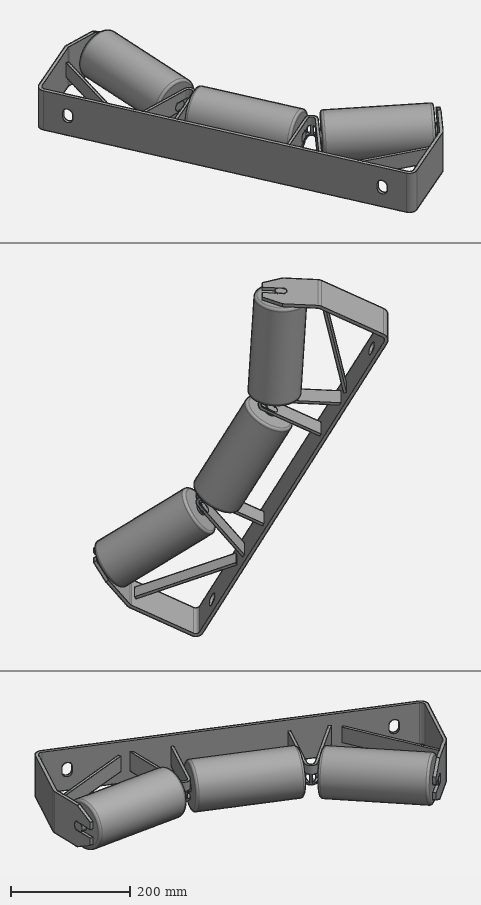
import cadquery as cq
import math


frame_length = 680.0
frame_height = 80.0
frame_sheet = 6.0
frame_bend_radius = 13.5
wall_bend_y = 134.5
trough_angle = 25.0
wing_length = 96.5
wing_chamfer_along = 34.0
wing_chamfer_down = 18.0

mount_hole_width = 18.0
mount_hole_height = 27.0
mount_hole_x = 283.0

brace_sheet = 5.0
bracket_height = 37.5
bracket_leg_x = 98.5
bracket_top_y = 127.0
bracket_bend_radius = 11.5
strut_height = 30.0
strut_foot_x = 191.0
strut_angle = 40.0

drum_diameter = 89.0
drum_length = 190.0
drum_edge_radius = 5.0
axle_diameter = 20.0
axle_flats = 16.0
axle_flat_length = 7.0
slot_reach = 54.5
centre_axle_y = 98.5
centre_axle_z = -7.0
side_axle_y = 194.0
side_axle_z = 0.0
side_drum_inset = 10.0
forward_tilt = 2.0

lean = math.radians(trough_angle)
tilt = math.radians(forward_tilt)
wing_direction = cq.Vector(math.sin(lean), math.cos(lean), 0)
inward_direction = cq.Vector(math.cos(lean), -math.sin(lean), 0)

wall_x = -frame_length / 2
wing_bend = cq.Vector(wall_x, wall_bend_y, 0)
wing_tip = wing_bend + wing_direction * wing_length

fold_middle = cq.Vector(-bracket_leg_x - bracket_bend_radius, bracket_top_y - bracket_bend_radius, 0)

side_axle_start = cq.Vector(
    wall_x + (side_axle_y - wall_bend_y) * math.tan(lean), side_axle_y, side_axle_z
)
leaning_leg_distance = (fold_middle - side_axle_start).dot(inward_direction) - bracket_bend_radius
side_axle_length = (leaning_leg_distance + brace_sheet) / math.cos(tilt)
side_plane = cq.Plane(
    origin=side_axle_start,
    xDir=wing_direction,
    normal=inward_direction * math.cos(tilt) - cq.Vector(0, 0, math.sin(tilt)),
)
centre_axle_length = 2 * (bracket_leg_x + brace_sheet)
centre_plane = cq.Plane(
    origin=(-centre_axle_length / 2, centre_axle_y, centre_axle_z),
    xDir=(0, 1, 0),
    normal=(1, 0, 0),
)


def mirrored(body):
    """The same body on the +X half."""
    return body.mirror("YZ")


def in_plan(vector):
    return (vector.x, vector.y)


def upright_plate(points, height):
    """Plate with the given plan outline, standing on edge about Z = 0."""
    return cq.Workplane("XY").polyline(points).close().extrude(height / 2, both=True)


def fillet_upright_edge(plate, corner, radius):
    """Round the upright edge that passes through a corner of the plan outline."""
    reach = 0.1
    x, y = corner
    near = cq.selectors.BoxSelector((x - reach, y - reach, -reach), (x + reach, y + reach, reach))
    return plate.edges("|Z").edges(near).fillet(radius)


def shifted(plane, distance):
    """The plane moved along its normal."""
    return cq.Plane(plane.origin + plane.zDir * distance, plane.xDir, plane.zDir)




def flatted_bar(plane, length):
    """Round bar with two flats, as at the ends of an axle."""
    bar = cq.Workplane(plane).circle(axle_diameter / 2).extrude(length)
    return bar.intersect(cq.Workplane(plane).rect(axle_diameter, axle_flats).extrude(length))


def slot_cutter(plane, start, end):
    """Axle slot between two distances along the axle, open along the plane's x direction."""
    seat = shifted(plane, start)
    mouth = cq.Workplane(seat).center(slot_reach / 2, 0).rect(slot_reach, axle_flats)
    return flatted_bar(seat, end - start).union(mouth.extrude(end - start))


def make_roller(plane, axle_length, drum_start):
    """Drum and axle in one body; the plane lies at the start of the axle."""
    drum = cq.Workplane(shifted(plane, drum_start)).circle(drum_diameter / 2).extrude(drum_length)
    drum = drum.edges().fillet(drum_edge_radius)
    round_length = axle_length - 2 * axle_flat_length
    shaft = (
        cq.Workplane(shifted(plane, axle_flat_length))
        .circle(axle_diameter / 2)
        .extrude(round_length)
    )
    return drum.union(shaft).union(flatted_bar(plane, axle_length))




def wing_corner_cutter():
    """Triangles cut from the top and bottom corners of the left wing."""
    wing_plane = cq.Plane(wing_tip - inward_direction * frame_sheet, wing_direction, inward_direction)
    top = frame_height / 2
    cutter = cq.Workplane(wing_plane)
    for side in (1, -1):
        cutter = cutter.polyline(
            [(0, side * top), (-wing_chamfer_along, side * top), (0, side * (top - wing_chamfer_down))]
        ).close()
    return cutter.extrude(3 * frame_sheet)


def make_frame():
    inner_wall_x = wall_x + frame_sheet
    outer_corner = (wall_x, 0)
    inner_corner = (inner_wall_x, frame_sheet)
    outer_bend = in_plan(wing_bend)
    inner_bend = (inner_wall_x, wall_bend_y - frame_sheet * math.tan(lean / 2))
    half = upright_plate(
        [
            (0, 0),
            outer_corner,
            outer_bend,
            in_plan(wing_tip),
            in_plan(wing_tip + inward_direction * frame_sheet),
            inner_bend,
            inner_corner,
            (0, frame_sheet),
        ],
        frame_height,
    )
    for corner in (outer_corner, outer_bend):
        half = fillet_upright_edge(half, corner, frame_bend_radius)
    for corner in (inner_corner, inner_bend):
        half = fillet_upright_edge(half, corner, frame_bend_radius - frame_sheet)
    half = half.cut(wing_corner_cutter())
    half = half.cut(slot_cutter(side_plane, -frame_sheet, axle_flat_length))
    mount_hole = (
        cq.Workplane("XZ")
        .center(-mount_hole_x, 0)
        .slot2D(mount_hole_height, mount_hole_width, 90)
        .extrude(-frame_sheet)
    )
    half = half.cut(mount_hole)
    return half.union(mirrored(half))




def fold_point(radius, angle):
    """Point on an arc about the middle of the fold, by its angle from +X."""
    return in_plan(fold_middle + cq.Vector(math.cos(angle), math.sin(angle), 0) * radius)


def leaning_foot(radius):
    """Where the side of the leaning leg tangent to the given fold radius meets the long wall."""
    drop = fold_middle.y - frame_sheet
    return (fold_middle.x - radius / math.cos(lean) - drop * math.tan(lean), frame_sheet)


def make_bracket():
    """Left bracket: one strip folded over at the top, with an open axle slot in each leg."""
    outer = bracket_bend_radius
    inner = outer - brace_sheet
    fold_end = math.pi - lean
    bracket = (
        cq.Workplane("XY")
        .moveTo(fold_middle.x + outer, frame_sheet)
        .lineTo(*fold_point(outer, 0))
        .threePointArc(fold_point(outer, fold_end / 2), fold_point(outer, fold_end))
        .lineTo(*leaning_foot(outer))
        .lineTo(*leaning_foot(inner))
        .lineTo(*fold_point(inner, fold_end))
        .threePointArc(fold_point(inner, fold_end / 2), fold_point(inner, 0))
        .lineTo(fold_middle.x + inner, frame_sheet)
        .close()
        .extrude(bracket_height / 2, both=True)
    )
    overrun = brace_sheet / 2
    bracket = bracket.cut(slot_cutter(centre_plane, -overrun, axle_flat_length))
    side_flats_start = side_axle_length - axle_flat_length
    return bracket.cut(slot_cutter(side_plane, side_flats_start, side_axle_length + overrun))




def make_strut():
    """Left strut: a flat bar with square ends, from the long wall to the end wall."""
    slope = math.radians(strut_angle)
    along = cq.Vector(-math.cos(slope), math.sin(slope), 0)
    across = cq.Vector(-math.sin(slope), -math.cos(slope), 0) * brace_sheet
    upper_foot = cq.Vector(-strut_foot_x, frame_sheet, 0) - cq.Vector(0, across.y, 0)
    lower_foot = upper_foot + across
    length = (lower_foot.x - wall_x - frame_sheet) / math.cos(slope)
    upper_end = upper_foot + along * length
    lower_end = lower_foot + along * length
    return upright_plate([in_plan(p) for p in (upper_foot, upper_end, lower_end, lower_foot)], strut_height)


frame = make_frame()
left_bracket = make_bracket()
brackets = [left_bracket, mirrored(left_bracket)]
left_strut = make_strut()
struts = [left_strut, mirrored(left_strut)]
left_roller = make_roller(side_plane, side_axle_length, side_drum_inset)
centre_roller = make_roller(centre_plane, centre_axle_length, (centre_axle_length - drum_length) / 2)
rollers = [left_roller, centre_roller, mirrored(left_roller)]

result = cq.Compound.makeCompound(
    [body.val() for body in [frame, *brackets, *struts, *rollers]]
)